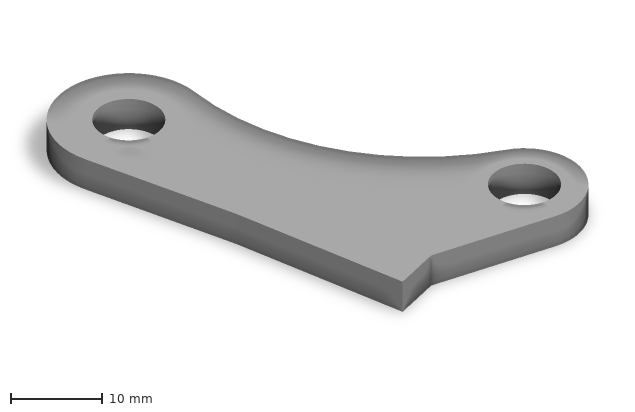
import cadquery as cq
import math

THICKNESS = 4.0
LARGE_EYE_RADIUS = 9.0
SMALL_EYE_RADIUS = 7.0
HOLE_DIAMETER = 8.0
LARGE_EYE = (0.0, 0.0)
SMALL_EYE = (42.81, 14.04)

WAIST_RADIUS = 31.0

LOWER_EDGE_Y = -LARGE_EYE_RADIUS
RIDGE = (19.92, LOWER_EDGE_Y + 0.59)
RIDGE_SETBACK = 0.50
HEEL_BOTTOM = (42.38, LOWER_EDGE_Y)
HEEL_TOP = (42.1, LOWER_EDGE_Y + 5.95)


def polar(center, radius, angle):
    """Point at a given radius and angle (radians) around a centre."""
    return (center[0] + radius * math.cos(angle), center[1] + radius * math.sin(angle))


def direction(start, end):
    """Angle (radians) of the line from start to end."""
    return math.atan2(end[1] - start[1], end[0] - start[0])


def tangent_angle(center, radius, point, side):
    """Angle around a circle where a line from an outside point touches it."""
    half_angle = math.acos(radius / math.dist(center, point))
    return direction(center, point) + side * half_angle


def waist_center():
    """Centre of the arc that touches both eyes from above."""
    to_large = LARGE_EYE_RADIUS + WAIST_RADIUS
    to_small = SMALL_EYE_RADIUS + WAIST_RADIUS
    span = math.dist(LARGE_EYE, SMALL_EYE)
    cosine = (to_large**2 + span**2 - to_small**2) / (2 * to_large * span)
    return polar(LARGE_EYE, to_large, direction(LARGE_EYE, SMALL_EYE) + math.acos(cosine))


def plate():
    """Solid plate with the rounded eyes and the heel."""
    waist = waist_center()
    large_top = polar(LARGE_EYE, LARGE_EYE_RADIUS, direction(LARGE_EYE, waist))
    small_top = polar(SMALL_EYE, SMALL_EYE_RADIUS, direction(SMALL_EYE, waist))
    waist_low = polar(waist, WAIST_RADIUS, direction(waist, RIDGE))

    large_bottom = polar(
        LARGE_EYE, LARGE_EYE_RADIUS, tangent_angle(LARGE_EYE, LARGE_EYE_RADIUS, RIDGE, -1)
    )
    small_right = polar(
        SMALL_EYE, SMALL_EYE_RADIUS, tangent_angle(SMALL_EYE, SMALL_EYE_RADIUS, HEEL_TOP, 1)
    )

    ridge_start = polar(RIDGE, RIDGE_SETBACK, direction(RIDGE, large_bottom))
    ridge_end = polar(RIDGE, RIDGE_SETBACK, direction(RIDGE, HEEL_BOTTOM))

    large_left = (LARGE_EYE[0] - LARGE_EYE_RADIUS, LARGE_EYE[1])
    small_outer = polar(SMALL_EYE, SMALL_EYE_RADIUS, direction(LARGE_EYE, SMALL_EYE))

    outline = (
        cq.Workplane("XY")
        .moveTo(*large_bottom)
        .lineTo(*ridge_start)
        .tangentArcPoint(ridge_end, relative=False)
        .lineTo(*HEEL_BOTTOM)
        .lineTo(*HEEL_TOP)
        .lineTo(*small_right)
        .threePointArc(small_outer, small_top)
        .threePointArc(waist_low, large_top)
        .threePointArc(large_left, large_bottom)
        .close()
    )
    return outline.extrude(THICKNESS)


def drill_eyes(body):
    """Through hole in the centre of each eye."""
    top_face = body.faces(">Z").workplane(origin=(0, 0, THICKNESS))
    return top_face.pushPoints([LARGE_EYE, SMALL_EYE]).hole(HOLE_DIAMETER)


result = drill_eyes(plate())